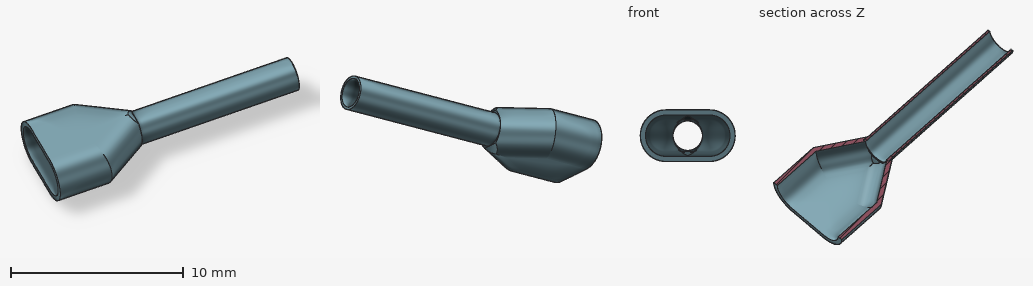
import cadquery as cq
import math

TOTAL_LENGTH = 16.0
TUBE_DIAMETER = 2.0
BORE_DIAMETER = 1.7
TUBE_INSERTION = 0.32

MOUTH_WIDTH = 5.5
SLEEVE_HEIGHT = 3.0
SLEEVE_LENGTH = 6.0
SLEEVE_WALL = 0.3
TAPER_START = 3.3
END_LIP = 0.02
END_BEVEL_ANGLE = 45.0

END_HALF_WIDTH = TUBE_DIAMETER / 2 + END_LIP
HALF_MOUTH = MOUTH_WIDTH / 2
TAPER_ANGLE = math.degrees(math.atan2(HALF_MOUTH - END_HALF_WIDTH, SLEEVE_LENGTH - TAPER_START))
TUBE_START = SLEEVE_LENGTH - TUBE_INSERTION
REACH = TOTAL_LENGTH


def cylinder_along_y(diameter, start, end):
    plane = cq.Workplane("XZ", origin=(0, start, 0))
    return plane.circle(diameter / 2).extrude(start - end)


def straight_passage(inset):
    """Oblong prism that follows the mouth, pulled inward by the inset."""
    width = MOUTH_WIDTH - 2 * inset
    height = SLEEVE_HEIGHT - 2 * inset
    return cq.Workplane("XZ").slot2D(width, height).extrude(-SLEEVE_LENGTH)


def tapered_slab(inset):
    """Slab with one fully rounded edge, tilted along the converging +X side."""
    radius = SLEEVE_HEIGHT / 2 - inset
    edge_x = -inset
    slab = (
        cq.Workplane("XZ")
        .moveTo(-REACH, -radius)
        .lineTo(edge_x - radius, -radius)
        .threePointArc((edge_x, 0), (edge_x - radius, radius))
        .lineTo(-REACH, radius)
        .close()
        .extrude(REACH, both=True)
    )
    return slab.rotate((0, 0, 0), (0, 0, 1), TAPER_ANGLE).translate((HALF_MOUTH, TAPER_START, 0))


def bevel_envelope(inset):
    """Wedge whose sloping top and bottom form the bevels at the narrow end."""
    slope = math.radians(END_BEVEL_ANGLE)
    end_height = END_HALF_WIDTH - inset / math.cos(slope)
    mouth_height = end_height + SLEEVE_LENGTH * math.tan(slope)
    return (
        cq.Workplane("YZ")
        .polyline([
            (0, -mouth_height),
            (SLEEVE_LENGTH, -end_height),
            (SLEEVE_LENGTH, end_height),
            (0, mouth_height),
        ])
        .close()
        .extrude(MOUTH_WIDTH, both=True)
    )


def funnel(inset):
    """Solid funnel shape: the sleeve outside at zero inset, its cavity at one wall thickness."""
    right_slab = tapered_slab(inset)
    left_slab = right_slab.mirror("YZ")
    return (
        straight_passage(inset)
        .intersect(right_slab)
        .intersect(left_slab)
        .intersect(bevel_envelope(inset))
    )


def make_sleeve():
    tube_socket = cylinder_along_y(TUBE_DIAMETER, TUBE_START, SLEEVE_LENGTH)
    return funnel(0).cut(funnel(SLEEVE_WALL)).cut(tube_socket)


def make_tube():
    outside = cylinder_along_y(TUBE_DIAMETER, TUBE_START, TOTAL_LENGTH)
    bore = cylinder_along_y(BORE_DIAMETER, TUBE_START, TOTAL_LENGTH)
    return outside.cut(bore)


sleeve = make_sleeve()
tube = make_tube()

result = cq.Compound.makeCompound([sleeve.solids().val(), tube.solids().val()])